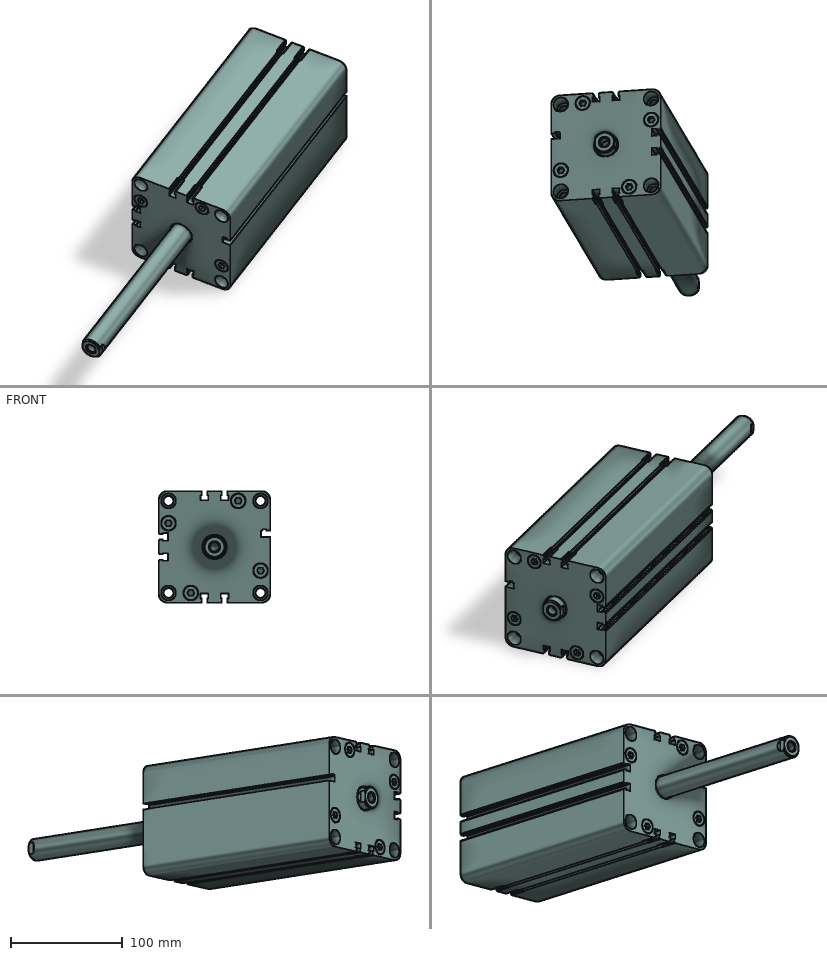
import cadquery as cq

TOTAL_LENGTH = 392.0
SIDE = 100.0
CORNER_RADIUS = 8.2
BODY_LENGTH = 216.5
REAR_STUB = 8.0
CAP_LENGTH = 16.0

HALF_SIDE = SIDE / 2
ROD_FRONT = -TOTAL_LENGTH / 2
ROD_REAR = TOTAL_LENGTH / 2
BODY_REAR = ROD_REAR - REAR_STUB
BODY_FRONT = BODY_REAR - BODY_LENGTH

ROD_DIAMETER = 20.0
GLAND_DIAMETER = 22.0
GLAND_DEPTH = 0.5
ROD_END_CHAMFER = 1.0
FLAT_WIDTH = 17.2
FLAT_LENGTH = 5.5
FLAT_RUNOUT = 2.5
BORE_DIAMETER = 8.2
BORE_DEPTH = 19.5
BORE_MOUTH_DIAMETER = 10.0
DRILL_TIP_LENGTH = 2.5

SLOT_OFFSET = 9.0
SLOT_NECK_WIDTH = 4.7
SLOT_NECK_DEPTH = 4.0
SLOT_WIDTH = 6.5
SLOT_DEPTH = 8.2
SLOT_MOUTH_CHAMFER = 1.0

SIDE_SLOT_BOTTOM = 9.0
SIDE_SLOT_WIDTH = 5.5
SIDE_SLOT_DEPTH = 8.2
SIDE_SLOT_LIP = 4.0
SIDE_SLOT_UNDERCUT = 1.0
SIDE_SLOT_BEVEL = 1.5

HOLE_OFFSET = 41.0
HOLE_DIAMETER = 8.5
COUNTERBORE_DIAMETER = 13.5
COUNTERBORE_DEPTH = 4.0
SCREW_SHIFT = 21.0
SCREW_HEAD_DIAMETER = 12.5
SCREW_GROOVE_DEPTH = 1.0
SOCKET_ACROSS_CORNERS = 6.3
SOCKET_DEPTH = 1.0


def plane_at(y):
    """Plane across the axis at y: local x is X, local y is Z, extrusion runs toward -Y."""
    return cq.Workplane("XZ", origin=(0, y, 0))


def slot_cutter(offset, rear, length, chamfer):
    """T-slot in the top face, running along Y from its rear end."""
    neck = SLOT_NECK_WIDTH / 2
    half = SLOT_WIDTH / 2
    outline = [
        (neck + chamfer, HALF_SIDE),
        (neck, HALF_SIDE - chamfer),
        (neck, HALF_SIDE - SLOT_NECK_DEPTH),
        (half, HALF_SIDE - SLOT_NECK_DEPTH),
        (half, HALF_SIDE - SLOT_DEPTH),
    ]
    if chamfer == 0:
        outline = outline[1:]
    mirrored = [(-x, z) for x, z in reversed(outline)]
    points = [(x + offset, z) for x, z in outline + mirrored]
    return plane_at(rear).polyline(points).close().extrude(length)


def make_body():
    body = plane_at(BODY_REAR).rect(SIDE, SIDE).extrude(BODY_LENGTH)
    body = body.edges("|Y").fillet(CORNER_RADIUS)

    for angle, middle_chamfer in ((0, 0), (-90, SLOT_MOUTH_CHAMFER), (180, 0)):
        for offset in (-SLOT_OFFSET, SLOT_OFFSET):
            slot = slot_cutter(offset, BODY_REAR, BODY_LENGTH, middle_chamfer)
            for rear in (BODY_REAR, BODY_FRONT + CAP_LENGTH):
                slot = slot.union(slot_cutter(offset, rear, CAP_LENGTH, SLOT_MOUTH_CHAMFER))
            body = body.cut(slot.rotate((0, 0, 0), (0, 1, 0), angle))

    floor = HALF_SIDE - SIDE_SLOT_DEPTH
    top = SIDE_SLOT_BOTTOM + SIDE_SLOT_WIDTH
    side_slot = (
        plane_at(BODY_REAR)
        .moveTo(HALF_SIDE, SIDE_SLOT_BOTTOM)
        .lineTo(floor, SIDE_SLOT_BOTTOM)
        .lineTo(floor, top + SIDE_SLOT_UNDERCUT - SIDE_SLOT_BEVEL)
        .lineTo(floor + SIDE_SLOT_BEVEL, top + SIDE_SLOT_UNDERCUT)
        .lineTo(HALF_SIDE - SIDE_SLOT_LIP, top + SIDE_SLOT_UNDERCUT)
        .lineTo(HALF_SIDE - SIDE_SLOT_LIP, top)
        .lineTo(HALF_SIDE, top)
        .close()
        .extrude(BODY_LENGTH)
    )
    return body.cut(side_slot)


def mounting_holes():
    """Four corner holes through the whole body."""
    corners = plane_at(BODY_REAR).rect(2 * HOLE_OFFSET, 2 * HOLE_OFFSET, forConstruction=True).vertices()
    return corners.circle(HOLE_DIAMETER / 2).extrude(BODY_LENGTH)


def cut_end_face(body, face_y, inward):
    """Counterbores, cap screws and rod gland; inward is +1 or -1 along Y."""
    corners = [(x, z) for x in (-HOLE_OFFSET, HOLE_OFFSET) for z in (-HOLE_OFFSET, HOLE_OFFSET)]
    screws = [
        (SCREW_SHIFT, HOLE_OFFSET),
        (HOLE_OFFSET, -SCREW_SHIFT),
        (-SCREW_SHIFT, -HOLE_OFFSET),
        (-HOLE_OFFSET, SCREW_SHIFT),
    ]
    face = plane_at(face_y)
    bores = face.pushPoints(corners).circle(COUNTERBORE_DIAMETER / 2).extrude(-inward * COUNTERBORE_DEPTH)
    grooves = (
        face.pushPoints(screws)
        .circle(COUNTERBORE_DIAMETER / 2)
        .circle(SCREW_HEAD_DIAMETER / 2)
        .extrude(-inward * SCREW_GROOVE_DEPTH)
    )
    sockets = face.pushPoints(screws).polygon(6, SOCKET_ACROSS_CORNERS).extrude(-inward * SOCKET_DEPTH)
    gland = face.circle(GLAND_DIAMETER / 2).extrude(-inward * GLAND_DEPTH)
    return body.cut(bores).cut(grooves).cut(sockets).cut(gland)


def rod_bore(end_y, inward):
    """Countersunk blind hole with a drill-point bottom."""
    radius = BORE_DIAMETER / 2
    mouth = BORE_MOUTH_DIAMETER / 2
    profile = [
        (0, end_y),
        (mouth, end_y),
        (radius, end_y + inward * (mouth - radius)),
        (radius, end_y + inward * BORE_DEPTH),
        (0, end_y + inward * (BORE_DEPTH + DRILL_TIP_LENGTH)),
    ]
    return cq.Workplane("XY").polyline(profile).close().revolve(360, (0, 0, 0), (0, 1, 0))


def wrench_flat(end_y, inward, side):
    """Cutter for one flat; side is +1 or -1 along X. A slope leads out to the full diameter."""
    flat_x = side * FLAT_WIDTH / 2
    rod_x = side * ROD_DIAMETER / 2
    flat_end = end_y + inward * FLAT_LENGTH
    profile = [
        (flat_x, end_y),
        (flat_x, flat_end),
        (rod_x, flat_end + inward * FLAT_RUNOUT),
        (rod_x, end_y),
    ]
    return cq.Workplane("XY").polyline(profile).close().extrude(ROD_DIAMETER / 2, both=True)


def make_rod():
    rod = plane_at(ROD_REAR).circle(ROD_DIAMETER / 2).extrude(TOTAL_LENGTH)
    rod = rod.faces("<Y or >Y").edges().chamfer(ROD_END_CHAMFER)
    for end_y, inward in ((ROD_FRONT, 1), (ROD_REAR, -1)):
        rod = rod.cut(rod_bore(end_y, inward))
        for side in (-1, 1):
            rod = rod.cut(wrench_flat(end_y, inward, side))
    return rod


body = make_body()
body = body.cut(mounting_holes())
body = cut_end_face(body, BODY_FRONT, 4)
body = cut_end_face(body, BODY_REAR, -4)

result = body.union(make_rod())